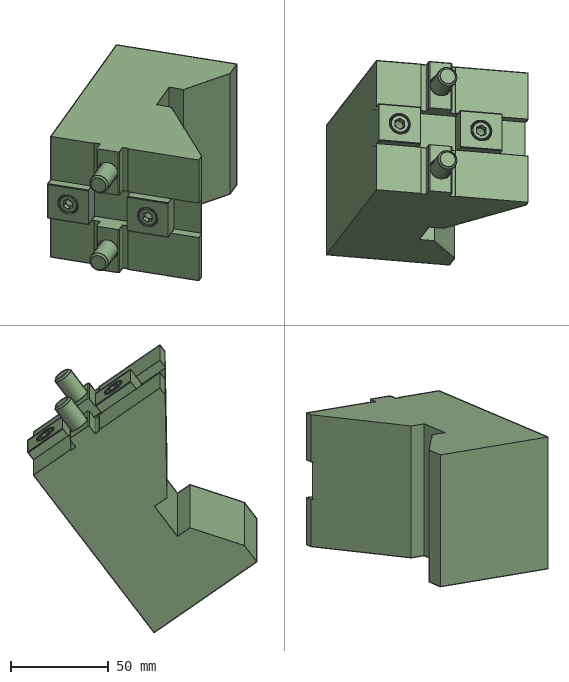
import cadquery as cq
import math


body_width = 80.0
body_depth = 105.0
body_height = 70.0
back_jaw_width = 65.0
vee_center_y = 60.0
vee_angle = 55.0
relief_floor_x = 40.2
relief_edge_x = 48.1
relief_width = 20.0

slot_width = 20.0
slot_depth = 5.0
key_length = 22.0
front_projection = 5.0
key_chamfer = 0.4
key_start_xs = (0.0, back_jaw_width - key_length)

screw_recess_diameter = 11.0
screw_recess_depth = 6.2
screw_head_diameter = 10.0
screw_head_chamfer = 0.5
socket_sides = 6
socket_across_flats = 5.0
socket_depth = 3.0
socket_turn = 90.0
socket_tip_diameter = 4.9
socket_tip_angle = 118.0

tenon_center_x = 32.5
tenon_width = 12.2
tenon_chamfer = 0.6
undercut_width = 3.0
undercut_depth = 0.5
undercut_corner_radius = 0.2

pin_diameter = 10.0
pin_projection = 15.0
pin_end_chamfer = 1.0
pin_spacing = 45.0
pin_clearance_diameter = 11.0

front_y = -front_projection


def block(x_range, y_range, z_range):
    """Axis-aligned box between the given limits."""
    sizes = [high - low for low, high in (x_range, y_range, z_range)]
    corner = (x_range[0], y_range[0], z_range[0])
    return cq.Workplane("XY").box(*sizes, centered=False).translate(corner)


def facing_front(x, y, z):
    """Work plane at the given point whose normal points to -Y."""
    return cq.Workplane("XZ", origin=(x, y, z))


def make_body():
    slope = math.tan(math.radians(vee_angle))
    relief_front_y = vee_center_y - relief_width / 2
    relief_back_y = vee_center_y + relief_width / 2
    vee_front_y = relief_front_y - slope * (body_width - relief_edge_x)
    vee_back_y = relief_back_y + slope * (back_jaw_width - relief_edge_x)
    outline = [
        (0, 0),
        (body_width, 0),
        (body_width, vee_front_y),
        (relief_edge_x, relief_front_y),
        (relief_floor_x, relief_front_y),
        (relief_floor_x, relief_back_y),
        (relief_edge_x, relief_back_y),
        (back_jaw_width, vee_back_y),
        (back_jaw_width, body_depth),
        (0, body_depth),
    ]
    return cq.Workplane("XY").polyline(outline).close().extrude(body_height / 2, both=True)


def make_tenon():
    half_width = tenon_width / 2
    tenon = block(
        (tenon_center_x - half_width, tenon_center_x + half_width),
        (front_y, 0),
        (-body_height / 2, body_height / 2),
    )
    return tenon.faces("<Y").edges("|Z").chamfer(tenon_chamfer)


def make_undercut(side):
    """Shallow strip with rounded floor corners beside the tenon; side is -1 or 1."""
    edge_xs = sorted(tenon_center_x + side * (tenon_width / 2 + step) for step in (0, undercut_width))
    strip = block(edge_xs, (0, undercut_depth), (-body_height / 2, body_height / 2))
    return strip.faces(">Y").edges("|Z").fillet(undercut_corner_radius)


def make_slot():
    return block((0, body_width), (front_y, slot_depth), (-slot_width / 2, slot_width / 2))


def make_key(start_x):
    """Key filling the slot, chamfered along its long edges, with a sunk socket screw."""
    key = block(
        (start_x, start_x + key_length),
        (front_y, slot_depth),
        (-slot_width / 2, slot_width / 2),
    ).edges("|X").chamfer(key_chamfer)
    center_x = start_x + key_length / 2
    recess_floor = facing_front(center_x, front_y + screw_recess_depth, 0)
    recess = recess_floor.circle(screw_recess_diameter / 2).extrude(screw_recess_depth)
    return key.cut(recess).union(make_screw_head(center_x))


def make_screw_head(center_x):
    head = (
        facing_front(center_x, front_y + screw_recess_depth, 0)
        .circle(screw_head_diameter / 2)
        .extrude(screw_recess_depth)
        .faces("<Y").edges().chamfer(screw_head_chamfer)
    )
    across_corners = socket_across_flats / math.cos(math.pi / socket_sides)
    socket_floor = facing_front(center_x, front_y + socket_depth, 0)
    socket = (
        socket_floor.transformed(rotate=(0, 0, socket_turn))
        .polygon(socket_sides, across_corners)
        .extrude(socket_depth)
    )
    tip_radius = socket_tip_diameter / 2
    tip_depth = tip_radius / math.tan(math.radians(socket_tip_angle / 2))
    tip = cq.Solid.makeCone(
        tip_radius, 0, tip_depth,
        pnt=cq.Vector(center_x, front_y + socket_depth, 0),
        dir=cq.Vector(0, 1, 0),
    )
    return head.cut(socket).cut(cq.Workplane(tip))


def make_pin(z):
    length = pin_projection + front_projection
    pin = facing_front(tenon_center_x, 0, z).circle(pin_diameter / 2).extrude(length)
    return pin.faces("<Y").edges().chamfer(pin_end_chamfer)


def make_pin_clearance(z):
    """Bore through the tenon height, leaving a ring-shaped gap around the pin."""
    bore_floor = facing_front(tenon_center_x, 0, z)
    return bore_floor.circle(pin_clearance_diameter / 2).extrude(front_projection)


result = make_body().union(make_tenon())

for tenon_side in (-1, 1):
    result = result.cut(make_undercut(tenon_side))

result = result.cut(make_slot())

for key_start_x in key_start_xs:
    result = result.union(make_key(key_start_x))

for pin_z in (-pin_spacing / 2, pin_spacing / 2):
    result = result.cut(make_pin_clearance(pin_z)).union(make_pin(pin_z))